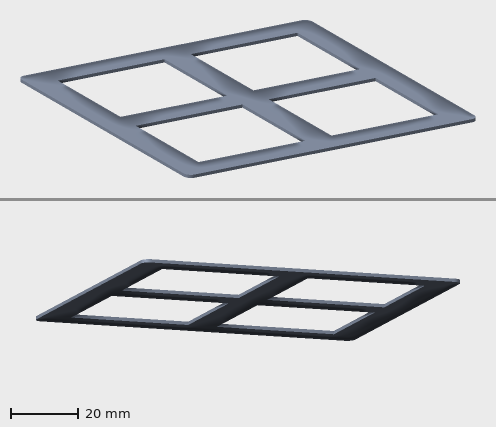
import cadquery as cq

plate_side = 100.0
plate_thickness = 1.0
corner_radius = 2.5
window_side = 36.7
bar_width = 9.0
windows_per_side = 2

window_pitch = window_side + bar_width


def make_plate():
    """Square plate, centred on the origin, with rounded corners."""
    plate = cq.Workplane("XY").box(plate_side, plate_side, plate_thickness)
    return plate.edges("|Z").fillet(corner_radius)


def cut_windows(plate):
    """Cut the centred grid of sharp-cornered square windows through the plate."""
    return (
        plate.faces(">Z")
        .workplane()
        .rarray(window_pitch, window_pitch, windows_per_side, windows_per_side)
        .rect(window_side, window_side)
        .cutThruAll()
    )


result = cut_windows(make_plate())